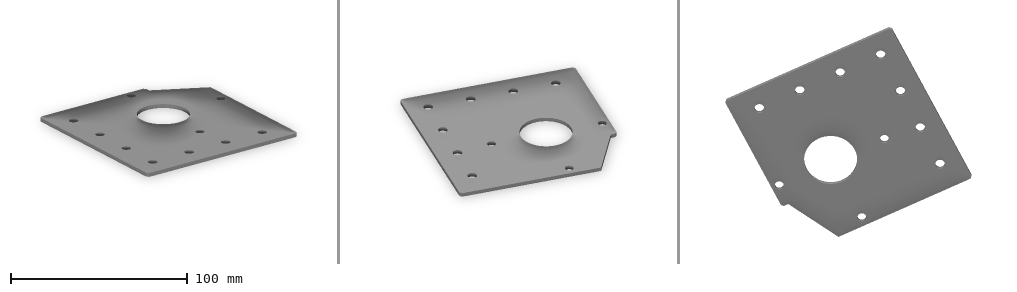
import cadquery as cq

side = 104.8
thickness = 2.3
corner_cut = 1.3

step_height = 73.8
step_width = 4.0
slant_top_x = 20.4

mount_diameter = 5.5
mount_edge_distance = 12.7
mount_pitch = 25.5
mounts_per_row = 4

opening_diameter = 30.1
opening_x = 37.7
opening_y = 59.4
small_diameter = 5.0
side_hole_offset = 33.1
side_hole_y = 61.0
top_hole_y = 99.5


def make_plate():
    outline = [
        (0, 0),
        (side, 0),
        (side, side),
        (slant_top_x, side),
        (step_width, step_height),
        (0, step_height),
    ]
    plate = cq.Workplane("XY").polyline(outline).close().extrude(thickness)
    square_corners = [(0, 0), (side, 0), (side, side), (0, step_height)]
    for x, y in square_corners:
        corner_edge = cq.selectors.NearestToPointSelector((x, y, thickness / 2))
        plate = plate.edges(corner_edge).chamfer(corner_cut)
    return plate


def make_holes(centers, diameter):
    return cq.Workplane("XY").pushPoints(centers).circle(diameter / 2).extrude(thickness)


corner_mount_x = side - mount_edge_distance
bottom_row = [(corner_mount_x - i * mount_pitch, mount_edge_distance) for i in range(mounts_per_row)]
right_column = [(corner_mount_x, mount_edge_distance + i * mount_pitch) for i in range(1, mounts_per_row)]

small_holes = [
    (opening_x - side_hole_offset, side_hole_y),
    (opening_x + side_hole_offset, side_hole_y),
    (opening_x, top_hole_y),
]

result = (
    make_plate()
    .cut(make_holes(bottom_row + right_column, mount_diameter))
    .cut(make_holes(small_holes, small_diameter))
    .cut(make_holes([(opening_x, opening_y)], opening_diameter))
)